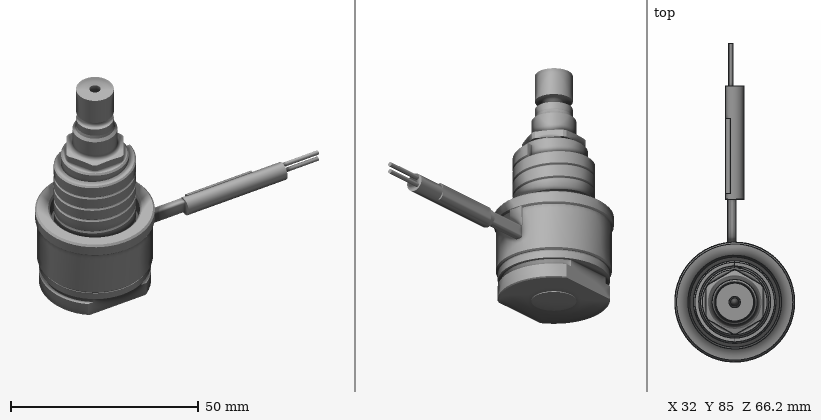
import cadquery as cq
import math


pad_radius = 6.0
pad_height = 0.2
foot_radius = 15.0
foot_chamfer = 0.3
foot_top = 4.2
groove_radius = 14.0
groove_top = 6.0
foot_across_flats = 24.0

collar_radius = 15.0
collar_top = 8.0
neck_radius = 14.8
neck_top = 8.4
housing_radius = 15.5
housing_chamfer = 0.4
flange_radius = 16.0
flange_bottom = 22.0
flange_top = 25.2
flange_chamfer = 0.5
recess_radius = 12.0
recess_chamfer = 0.5
recess_depth = 5.0
recess_floor = flange_top - recess_depth

barrel_radius = 9.1
barrel_top = 44.2
barrel_chamfer = 0.45
thread_radius = 11.0
thread_pitch = 3.9
thread_chamfer = 0.4
thread_end_top = 42.7
thread_end_angle = 90.0
thread_root_blend_width = 0.5
thread_root_blend_slope = 0.4
thread_groove_turns = 4.75
cut_clearance = 0.3

relief_radius = 6.9
hex_bottom = 44.8
hex_top = 47.0
hex_across_flats = 15.2
hex_corner_radius = 8.5
hex_corner_drop = 0.3
shoulder_radius = 6.0
shoulder_fillet = 1.0
shoulder_foot_radius = shoulder_radius + shoulder_fillet
shoulder_top = 53.4
shoulder_chamfer = 0.7
stem_radius = 5.05
stem_blend_height = 0.8
stem_top = 56.3
tip_neck_radius = 3.0
tip_neck_rim_radius = 4.1
tip_bottom = 58.6
overall_height = 66.2
bore_radius = 1.5
bore_depth = 8.0
bore_dome_radius = 1.1

cable_height = 14.55
cable_x = -0.75
cable_width = 2.3
cable_thickness = 3.7
cable_edge_radius = 0.6
cable_embed = 1.5
sleeve_radius = 2.5
sleeve_start = 27.4
sleeve_end = 57.7
plate_start = 29.0
plate_length = 20.0
plate_inner_x = -1.1
plate_height = 4.8
plate_edge_radius = 1.2
wire_x = -1.0
wire_radius = 0.6
wire_spacing = 2.1
wire_end = 69.0

guide_width = 4.0
guide_bottom = cable_height + cable_thickness / 2
guide_top_reach = housing_radius + 0.3
guide_bottom_reach = housing_radius + 0.05
guide_inner_reach = recess_radius + 1.0


def cylinder(radius, bottom, top):
    return cq.Workplane("XY").workplane(offset=bottom).circle(radius).extrude(top - bottom)


def revolve_profile(profile):
    """Close a half outline on the XZ plane and turn it about the Z axis."""
    return profile.close().revolve(360, (0, 0, 0), (0, 1, 0))


def make_foot():
    foot = cylinder(foot_radius, pad_height, foot_top).faces("<Z").chamfer(foot_chamfer)
    foot = foot.union(cylinder(groove_radius, foot_top, groove_top))
    flats = cq.Workplane("XY").box(
        foot_across_flats, 2 * foot_radius, groove_top, centered=(True, True, False)
    )
    return foot.intersect(flats).union(cylinder(pad_radius, 0, pad_height))


def make_housing():
    profile = (
        cq.Workplane("XZ")
        .moveTo(0, groove_top)
        .lineTo(collar_radius, groove_top)
        .lineTo(collar_radius, collar_top)
        .lineTo(neck_radius, collar_top)
        .lineTo(neck_radius, neck_top)
        .lineTo(housing_radius - housing_chamfer, neck_top)
        .lineTo(housing_radius, neck_top + housing_chamfer)
        .lineTo(housing_radius, flange_bottom - flange_chamfer)
        .lineTo(flange_radius, flange_bottom)
        .lineTo(flange_radius, flange_top - flange_chamfer)
        .lineTo(flange_radius - flange_chamfer, flange_top)
        .lineTo(recess_radius + recess_chamfer, flange_top)
        .lineTo(recess_radius, flange_top - recess_chamfer)
        .lineTo(recess_radius, recess_floor)
        .lineTo(0, recess_floor)
    )
    return revolve_profile(profile)


def make_guide():
    outline = [
        (guide_inner_reach, guide_bottom),
        (guide_bottom_reach, guide_bottom),
        (guide_top_reach, flange_bottom),
        (guide_inner_reach, flange_bottom),
    ]
    return cq.Workplane("YZ").polyline(outline).close().extrude(guide_width / 2, both=True)


def sweep_helix(section, turns, end_angle, end_height):
    """Sweep a (radius, height) section up a right-hand helix to the given end angle and height."""
    length = turns * thread_pitch
    helix = cq.Wire.makeHelix(thread_pitch, length, thread_radius)
    ridge = cq.Workplane("XZ").polyline(section).close().sweep(cq.Workplane(obj=helix), isFrenet=True)
    start_angle = end_angle - 360 * turns
    return ridge.rotate((0, 0, 0), (0, 0, 1), start_angle).translate((0, 0, end_height - length))


def make_groove():
    """V groove between neighbouring turns, ending at +Y one pitch below the thread's end."""
    half_width = thread_chamfer + cut_clearance
    section = [
        (thread_radius - thread_chamfer, 0),
        (thread_radius + cut_clearance, half_width),
        (thread_radius + cut_clearance, -half_width),
    ]
    return sweep_helix(section, thread_groove_turns, thread_end_angle, thread_end_top - thread_pitch)


def cut_above_last_turn(thread):
    """Remove what lies above the topmost turn, half a turn at a time, with a blended inner root."""
    clear_height = 1.5 * thread_pitch
    blend_height = thread_root_blend_slope * (thread_root_blend_width + cut_clearance)
    section = [
        (barrel_radius - cut_clearance, blend_height),
        (barrel_radius + thread_root_blend_width, 0),
        (thread_radius - thread_chamfer, 0),
        (thread_radius + cut_clearance, -thread_chamfer - cut_clearance),
        (thread_radius + cut_clearance, clear_height),
        (barrel_radius - cut_clearance, clear_height),
    ]
    for half_turns_down in (0, 1):
        end_angle = thread_end_angle - 180 * half_turns_down
        end_height = thread_end_top - half_turns_down * thread_pitch / 2
        thread = thread.cut(sweep_helix(section, 0.5, end_angle, end_height))
    return thread


def make_barrel():
    """Threaded barrel; the last turn stops square at +Y."""
    thread = cylinder(thread_radius, recess_floor, thread_end_top).cut(make_groove())
    thread = cut_above_last_turn(thread)
    barrel = cylinder(barrel_radius, recess_floor, barrel_top).faces(">Z").chamfer(barrel_chamfer)
    return thread.union(barrel)


def make_hexagon():
    across_corners = hex_across_flats / math.cos(math.pi / 6)
    hexagon = (
        cq.Workplane("XY")
        .workplane(offset=hex_bottom)
        .polygon(6, across_corners)
        .extrude(hex_top - hex_bottom)
        .rotate((0, 0, 0), (0, 0, 1), 30)
    )
    envelope = (
        cq.Workplane("XZ")
        .moveTo(0, hex_bottom)
        .lineTo(hex_corner_radius, hex_bottom)
        .lineTo(hex_corner_radius, hex_top - hex_corner_drop)
        .lineTo(shoulder_foot_radius, hex_top)
        .lineTo(0, hex_top)
    )
    return hexagon.intersect(revolve_profile(envelope))


def make_stem():
    shoulder_fillet_inset = shoulder_fillet * (1 - math.sqrt(0.5))
    tip_neck_middle = (stem_top + tip_bottom) / 2
    profile = (
        cq.Workplane("XZ")
        .moveTo(0, barrel_top)
        .lineTo(relief_radius, barrel_top)
        .lineTo(relief_radius, hex_top)
        .lineTo(shoulder_foot_radius, hex_top)
        .threePointArc(
            (shoulder_radius + shoulder_fillet_inset, hex_top + shoulder_fillet_inset),
            (shoulder_radius, hex_top + shoulder_fillet),
        )
        .lineTo(shoulder_radius, shoulder_top - shoulder_chamfer)
        .lineTo(shoulder_radius - shoulder_chamfer, shoulder_top)
        .lineTo(stem_radius, shoulder_top + stem_blend_height)
        .lineTo(stem_radius, stem_top)
        .lineTo(tip_neck_rim_radius, stem_top)
        .threePointArc((tip_neck_radius, tip_neck_middle), (tip_neck_rim_radius, tip_bottom))
        .lineTo(stem_radius, tip_bottom)
        .lineTo(stem_radius, overall_height)
        .lineTo(0, overall_height)
    )
    return revolve_profile(profile).cut(make_bore())


def make_bore():
    """Blind hole in the tip with a dome standing on its floor."""
    floor = overall_height - bore_depth
    hole = cylinder(bore_radius, floor, overall_height)
    dome = cq.Workplane("XY").sphere(bore_dome_radius).translate((0, 0, floor))
    return hole.cut(dome)


def rod(radius, x, z, start, end):
    """Round bar along Y."""
    return cq.Workplane("XZ", origin=(x, start, z)).circle(radius).extrude(start - end)


def make_cable():
    buried_start = housing_radius - cable_embed
    cable_length = sleeve_start - buried_start
    cable = (
        cq.Workplane("XY")
        .box(cable_width, cable_length, cable_thickness, centered=(True, False, True))
        .edges("|Y")
        .fillet(cable_edge_radius)
        .translate((cable_x, buried_start, cable_height))
    )
    sleeve = rod(sleeve_radius, 0, cable_height, sleeve_start, sleeve_end)
    plate = (
        cq.Workplane("XY")
        .box(sleeve_radius + plate_inner_x, plate_length, plate_height, centered=False)
        .edges("|Y and <X")
        .fillet(plate_edge_radius)
        .translate((-sleeve_radius, plate_start, cable_height - plate_height / 2))
    )
    cable = cable.union(sleeve).union(plate)
    for side in (-1, 1):
        wire_height = cable_height + side * wire_spacing / 2
        cable = cable.union(rod(wire_radius, wire_x, wire_height, sleeve_end, wire_end))
    return cable


result = make_foot()
for piece in (make_housing(), make_guide(), make_barrel(), make_hexagon(), make_stem(), make_cable()):
    result = result.union(piece)